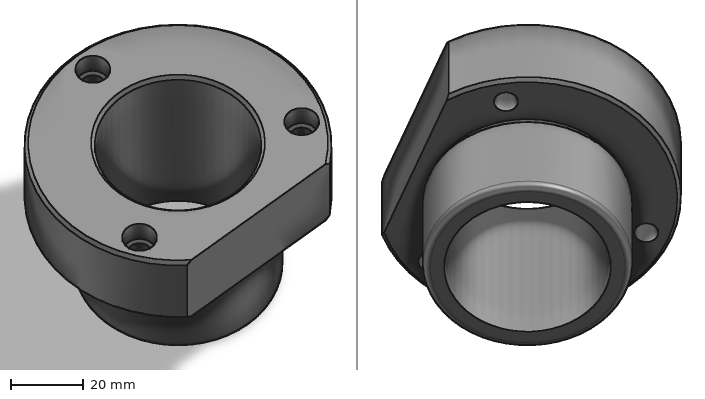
import cadquery as cq

flange_diameter = 84.9
flange_height = 25.0
total_height = 55.0
flat_offset = 33.0
spigot_diameter = 57.9
bore_diameter = 46.0
edge_chamfer = 1.0

groove_diameter = 56.5
groove_straight_height = 1.4
groove_taper_height = 0.7

lead_in_radius = 2.0

hole_circle_radius = 35.0
hole_count = 3
first_hole_angle = 60.0
hole_diameter = 6.6
counterbore_diameter = 9.6
counterbore_depth = 6.8

flange_radius = flange_diameter / 2
spigot_radius = spigot_diameter / 2
groove_radius = groove_diameter / 2
bore_radius = bore_diameter / 2
flange_bottom = total_height - flange_height
groove_bottom = flange_bottom - groove_straight_height
spigot_top = groove_bottom - groove_taper_height


def make_body():
    """Revolve the stepped outside profile about the Z axis."""
    return (
        cq.Workplane("XZ")
        .lineTo(spigot_radius - lead_in_radius, 0)
        .tangentArcPoint((spigot_radius, lead_in_radius), relative=False)
        .lineTo(spigot_radius, spigot_top)
        .lineTo(groove_radius, groove_bottom)
        .lineTo(groove_radius, flange_bottom)
        .lineTo(flange_radius - edge_chamfer, flange_bottom)
        .lineTo(flange_radius, flange_bottom + edge_chamfer)
        .lineTo(flange_radius, total_height - edge_chamfer)
        .lineTo(flange_radius - edge_chamfer, total_height)
        .lineTo(0, total_height)
        .close()
        .revolve(360, (0, 0, 0), (0, 1, 0))
    )


def cut_flat(body):
    """Trim the +X side of the flange to a flat."""
    keep_length = flange_radius + flat_offset
    keep = cq.Workplane("XY").box(
        keep_length, flange_diameter, total_height, centered=(False, True, False)
    )
    return body.intersect(keep.translate((-flange_radius, 0, 0)))


def cut_bore(body):
    """Cut the through bore with its upper chamfer."""
    bore = (
        cq.Workplane("XZ")
        .lineTo(bore_radius, 0)
        .lineTo(bore_radius, total_height - edge_chamfer)
        .lineTo(bore_radius + edge_chamfer, total_height)
        .lineTo(0, total_height)
        .close()
        .revolve(360, (0, 0, 0), (0, 1, 0))
    )
    return body.cut(bore)


def cut_screw_holes(body):
    """Cut the counterbored holes evenly around the flange."""
    return (
        body.faces(">Z")
        .workplane(origin=(0, 0, total_height))
        .polarArray(hole_circle_radius, first_hole_angle, 360, hole_count)
        .cboreHole(hole_diameter, counterbore_diameter, counterbore_depth)
    )


result = cut_screw_holes(cut_bore(cut_flat(make_body())))